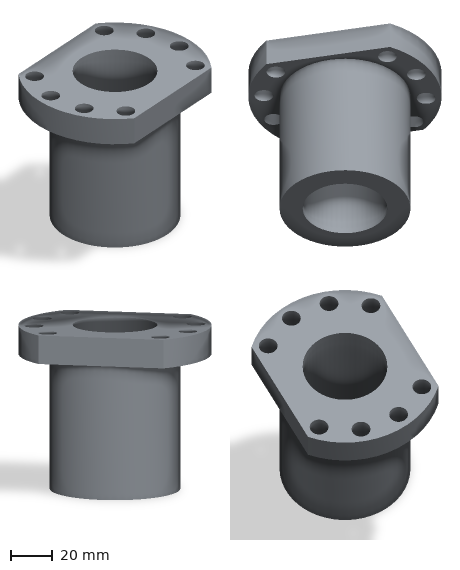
import cadquery as cq

flange_diameter = 93.0
flange_width = 70.0
flange_thickness = 13.95
total_height = 80.0
body_diameter = 63.0
bore_diameter = 40.7
bolt_circle_diameter = 78.0
bolt_hole_diameter = 9.0
bolt_angles = (45, 75, 105, 135, 225, 255, 285, 315)

body_height = total_height - flange_thickness


def make_flange():
    """Round flange with two parallel flats facing -X and +X."""
    disc = cq.Workplane("XY").circle(flange_diameter / 2).extrude(flange_thickness)
    flats = cq.Workplane("XY").rect(flange_width, flange_diameter).extrude(flange_thickness)
    return disc.intersect(flats).translate((0, 0, body_height))


def make_bolt_hole(angle):
    """Cutter for one bolt hole through the flange."""
    hole = cq.Workplane("XY").center(bolt_circle_diameter / 2, 0).circle(bolt_hole_diameter / 2)
    hole = hole.extrude(flange_thickness).translate((0, 0, body_height))
    return hole.rotate((0, 0, 0), (0, 0, 1), angle)


body = cq.Workplane("XY").circle(body_diameter / 2).extrude(total_height)
result = body.union(make_flange())

bore = cq.Workplane("XY").circle(bore_diameter / 2).extrude(total_height)
result = result.cut(bore)

for bolt_angle in bolt_angles:
    result = result.cut(make_bolt_hole(bolt_angle))